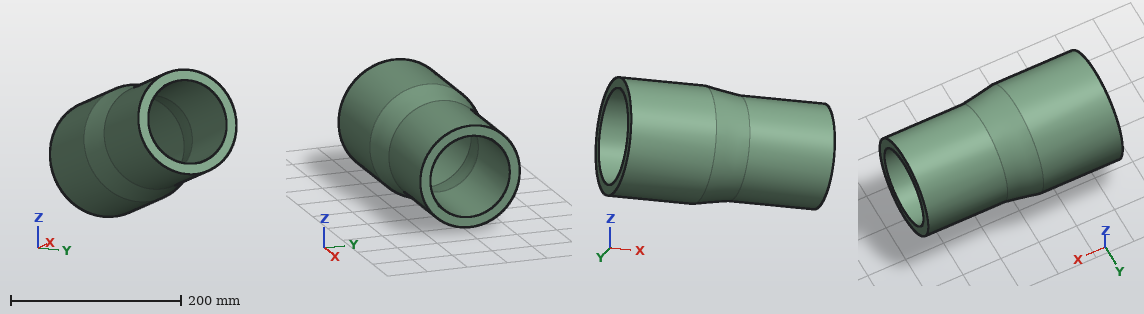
import cadquery as cq

total_length = 253.0
end_length = 104.7
large_outer_diameter = 140.0
large_inner_diameter = 114.5
small_outer_diameter = 125.0
small_inner_diameter = 99.7

taper_start = end_length
taper_end = total_length - end_length


def stepped_body(large_diameter, small_diameter):
    """Solid of revolution: large cylinder, cone, small cylinder."""
    large_radius = large_diameter / 2
    small_radius = small_diameter / 2
    return (
        cq.Workplane("XY")
        .moveTo(0, 0)
        .lineTo(0, large_radius)
        .lineTo(taper_start, large_radius)
        .lineTo(taper_end, small_radius)
        .lineTo(total_length, small_radius)
        .lineTo(total_length, 0)
        .close()
        .revolve(360, (0, 0, 0), (1, 0, 0))
    )


outer_body = stepped_body(large_outer_diameter, small_outer_diameter)
bore = stepped_body(large_inner_diameter, small_inner_diameter)

result = outer_body.cut(bore)